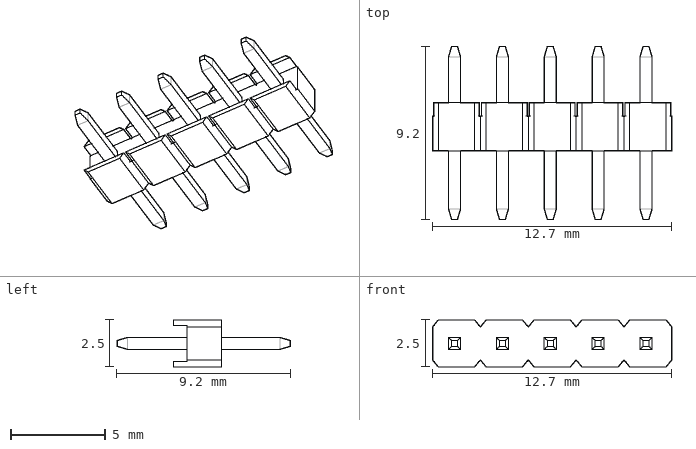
import cadquery as cq

pin_count = 5
pitch = 2.54

body_length = pin_count * pitch
body_height = 2.5
body_depth = 2.57
bevel_width = 0.3
bevel_height = 0.37

lip_thickness = 0.3
channel_depth = 0.72

pin_width = 0.65
tip_width = 0.32
tip_length = 0.56
pin_length = 9.2
pin_offset = -0.1
front_reach = 3.65


def body_cell(x):
    """One pin's share of the body: an octagonal prism, so neighbours meet in V grooves."""
    half_length = pitch / 2
    half_height = body_height / 2
    flat_half_length = half_length - bevel_width
    side_half_height = half_height - bevel_height
    outline = [
        (half_length, side_half_height),
        (flat_half_length, half_height),
        (-flat_half_length, half_height),
        (-half_length, side_half_height),
        (-half_length, -side_half_height),
        (-flat_half_length, -half_height),
        (flat_half_length, -half_height),
        (half_length, -side_half_height),
    ]
    return cq.Workplane("XZ").center(x, 0).polyline(outline).close().extrude(-body_depth)


def back_channel():
    """Cutter for the channel between the two lips."""
    return cq.Workplane("XY").box(
        body_length, channel_depth, body_height - 2 * lip_thickness, centered=(True, False, True)
    ).translate((0, body_depth - channel_depth, 0))


def pin_tip(x, shoulder_y, direction):
    """Tapered pin end running from its shoulder along Y (direction +1: back, -1: front)."""
    return (
        cq.Workplane(cq.Plane((x, shoulder_y, 0), xDir=(1, 0, 0), normal=(0, direction, 0)))
        .rect(pin_width, pin_width)
        .workplane(offset=tip_length)
        .rect(tip_width, tip_width)
        .loft(ruled=True)
    )


def pin(x):
    """Square pin with a tapered tip at each end."""
    front_shoulder = tip_length - front_reach
    back_shoulder = pin_length - front_reach - tip_length
    shank_length = back_shoulder - front_shoulder
    shank = (
        cq.Workplane("XY")
        .box(pin_width, shank_length, pin_width, centered=(True, False, True))
        .translate((x, front_shoulder, 0))
    )
    return shank.union(pin_tip(x, front_shoulder, -1)).union(pin_tip(x, back_shoulder, 1))


cell_positions = [(i - (pin_count - 1) / 2) * pitch for i in range(pin_count)]

body = body_cell(cell_positions[0])
for position in cell_positions[1:]:
    body = body.union(body_cell(position))
result = body.cut(back_channel())

for position in cell_positions:
    result = result.union(pin(position + pin_offset))